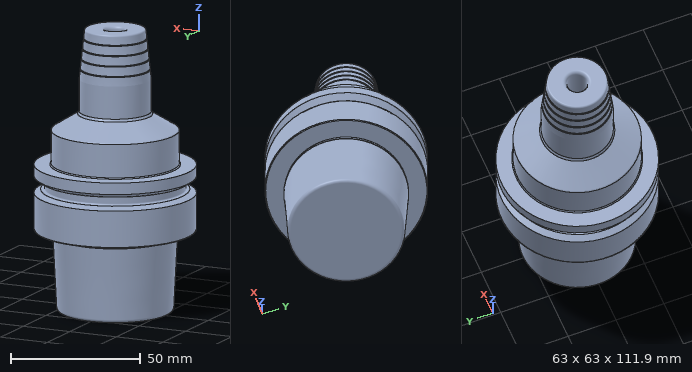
import cadquery as cq
import math

total_height = 111.9
flange_bottom = 32.0
flange_height = 26.0
flange_top = flange_bottom + flange_height

shank_bottom_radius = 22.7
shank_top_radius = 24.2
shank_top = 30.0
shank_edge_radius = 1.3
neck_radius = 23.8
neck_bottom = 30.9

flange_diameter = 63.0
flange_radius = flange_diameter / 2
flange_edge = 0.3
groove_root_radius = 27.4
groove_root_fillet = 0.6
groove_lip_radius = 28.9
groove_lower_edge = 46.8
groove_lower_lip = 48.1
groove_upper_lip = 51.7
groove_upper_edge = 53.4

collar_radius = 24.8
collar_top = 72.0
collar_edge = 0.3
collar_root_flare = 0.5
cone_top = 78.1
cone_top_radius = 14.5
nose_root_height = 1.0

nose_radius = 14.0
nose_taper_bottom = 92.0
nose_top_radius = 12.0
nose_edge_height = 0.8
nose_edge_width = 0.9
ring_count = 4
first_ring_depth = 4.0
ring_pitch = 4.0
ring_width = 0.3
ring_depth = 0.3

bore_radius = 4.0
bore_depth = 35.8
bore_mouth_radius = 5.6
bore_mouth_rounding = bore_mouth_radius - bore_radius


def body():
    """Revolve the outer outline, drawn as (radius, height), about Z."""
    diagonal = math.sqrt(0.5)
    edge_mid = (
        nose_top_radius - nose_edge_width * (1 - diagonal),
        total_height - nose_edge_height * (1 - diagonal),
    )
    shank_edge_mid = (
        shank_bottom_radius - shank_edge_radius * (1 - diagonal),
        shank_edge_radius * (1 - diagonal),
    )
    outline = (
        cq.Workplane("XZ")
        .lineTo(shank_bottom_radius - shank_edge_radius, 0)
        .threePointArc(shank_edge_mid, (shank_bottom_radius, shank_edge_radius))
        .lineTo(shank_top_radius, shank_top)
        .lineTo(neck_radius, neck_bottom)
        .lineTo(neck_radius, flange_bottom)
        .lineTo(flange_radius - flange_edge, flange_bottom)
        .lineTo(flange_radius, flange_bottom + flange_edge)
        .lineTo(flange_radius, groove_lower_edge)
        .lineTo(groove_lip_radius, groove_lower_lip)
        .lineTo(groove_root_radius + groove_root_fillet, groove_lower_lip)
        .radiusArc((groove_root_radius, groove_lower_lip + groove_root_fillet), groove_root_fillet)
        .lineTo(groove_root_radius, groove_upper_lip - groove_root_fillet)
        .radiusArc((groove_root_radius + groove_root_fillet, groove_upper_lip), groove_root_fillet)
        .lineTo(groove_lip_radius, groove_upper_lip)
        .lineTo(flange_radius, groove_upper_edge)
        .lineTo(flange_radius, flange_top)
        .lineTo(collar_radius + collar_root_flare, flange_top)
        .lineTo(collar_radius, flange_top + collar_root_flare)
        .lineTo(collar_radius, collar_top - collar_edge)
        .lineTo(collar_radius - collar_edge, collar_top)
        .lineTo(cone_top_radius, cone_top)
        .lineTo(nose_radius, cone_top + nose_root_height)
        .lineTo(nose_radius, nose_taper_bottom)
        .lineTo(nose_top_radius, total_height - nose_edge_height)
        .threePointArc(edge_mid, (nose_top_radius - nose_edge_width, total_height))
        .lineTo(0, total_height)
        .close()
    )
    return outline.revolve(360, (0, 0, 0), (0, 1, 0))


def nose_radius_at(height):
    """Radius of the tapered nose at the given height."""
    taper_height = total_height - nose_edge_height - nose_taper_bottom
    fraction = (height - nose_taper_bottom) / taper_height
    return nose_radius + fraction * (nose_top_radius - nose_radius)


def ring_groove(height):
    """Narrow ring cut around the nose, centred on the given height."""
    return (
        cq.Workplane("XY", origin=(0, 0, height - ring_width / 2))
        .circle(nose_radius + ring_depth)
        .circle(nose_radius_at(height) - ring_depth)
        .extrude(ring_width)
    )


def tool_bore():
    """Blind bore with a rounded mouth."""
    return (
        cq.Workplane("XZ")
        .moveTo(0, total_height)
        .lineTo(bore_mouth_radius, total_height)
        .radiusArc((bore_radius, total_height - bore_mouth_rounding), -bore_mouth_rounding)
        .lineTo(bore_radius, total_height - bore_depth)
        .lineTo(0, total_height - bore_depth)
        .close()
        .revolve(360, (0, 0, 0), (0, 1, 0))
    )


result = body().cut(tool_bore())
for ring in range(ring_count):
    result = result.cut(ring_groove(total_height - first_ring_depth - ring * ring_pitch))